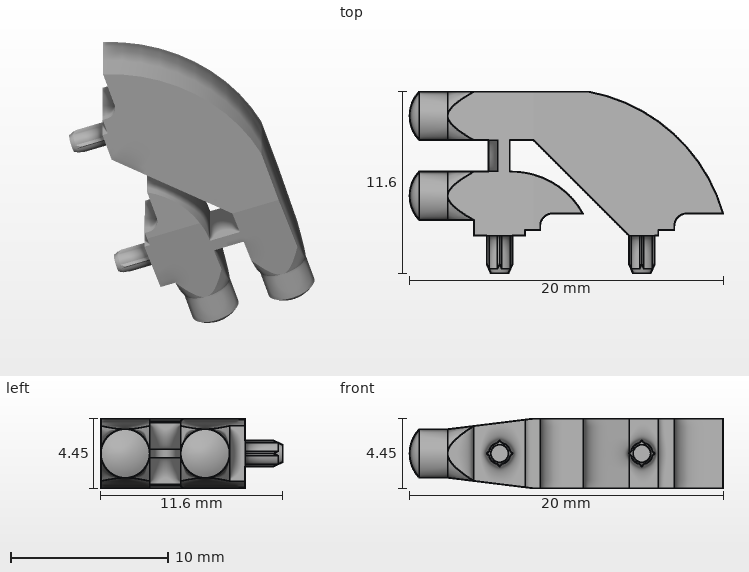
import cadquery as cq
import math


thickness = 4.45
taper_start_x = 2.435
taper_end_x = 7.9

tube_radius = 1.55
dome_height = 0.63
tube_pitch = 5.09
lower_tube_y = 2.54
upper_tube_y = lower_tube_y + tube_pitch
lower_top_y = lower_tube_y + tube_radius
upper_bottom_y = upper_tube_y - tube_radius
upper_top_y = upper_tube_y + tube_radius

neck_end_x = 4.1

step_height = 0.36
ledge_y = 1.41
cove_radius = 0.78
lower_step_x = 7.37
lower_heel_x = 8.33
upper_toe_x = taper_end_x + upper_bottom_y
upper_step_x = 15.84
upper_heel_x = 16.87

lower_arc_center = (6.5, -1.11)
lower_arc_radius = lower_top_y - lower_arc_center[1]
upper_arc_center = (9.395, -1.645)
upper_arc_radius = 11.01

bridge_start_x = 5.62
bridge_end_x = 6.4
tab_start_x = 5.02
tab_thickness = 0.54

pin_length = 2.4
pin_core_radius = 0.69
pin_rib_radius = 0.83
pin_rib_half_width = 0.14
pin_rib_count = 4
pin_tip_radius = 0.56
pin_tip_taper_length = 0.61
lower_pin_x = 5.74
upper_pin_x = 14.79


def point_on_arc(center, radius, angle):
    return (center[0] + radius * math.cos(angle), center[1] + radius * math.sin(angle))


def angle_at_y(center, radius, y):
    return math.asin((y - center[1]) / radius)


def plate(sketch):
    """Extrude an XY outline through the full thickness."""
    return sketch.extrude(thickness / 2, both=True)


def arm(outline, step_x, heel_x, arc_center, arc_radius, top_y):
    """Close an arm outline that has been drawn as far as the front of its foot."""
    cove_center = (heel_x + cove_radius, ledge_y - cove_radius)
    cove_middle = point_on_arc(cove_center, cove_radius, math.radians(135))
    tip_angle = angle_at_y(arc_center, arc_radius, ledge_y)
    top_angle = angle_at_y(arc_center, arc_radius, top_y)
    sketch = (
        outline.lineTo(step_x, 0)
        .lineTo(step_x, step_height)
        .lineTo(heel_x, step_height)
        .lineTo(heel_x, cove_center[1])
        .threePointArc(cove_middle, (cove_center[0], ledge_y))
        .lineTo(*point_on_arc(arc_center, arc_radius, tip_angle))
        .threePointArc(
            point_on_arc(arc_center, arc_radius, (tip_angle + top_angle) / 2),
            point_on_arc(arc_center, arc_radius, top_angle),
        )
        .lineTo(neck_end_x, top_y)
        .close()
    )
    return plate(sketch)


def lower_arm():
    outline = cq.Workplane("XY").moveTo(neck_end_x, lower_top_y).lineTo(neck_end_x, 0)
    return arm(outline, lower_step_x, lower_heel_x, lower_arc_center, lower_arc_radius, lower_top_y)


def upper_arm():
    outline = (
        cq.Workplane("XY")
        .moveTo(neck_end_x, upper_top_y)
        .lineTo(neck_end_x, upper_bottom_y)
        .lineTo(taper_end_x, upper_bottom_y)
        .lineTo(upper_toe_x, 0)
    )
    return arm(outline, upper_step_x, upper_heel_x, upper_arc_center, upper_arc_radius, upper_top_y)


def block(start_x, end_x, start_y, end_y, height):
    return (
        cq.Workplane("XY")
        .box(end_x - start_x, end_y - start_y, height, centered=(False, False, True))
        .translate((start_x, start_y, 0))
    )


def revolved_about_x(profile, y):
    return profile.close().revolve(360, (0, 0, 0), (1, 0, 0)).translate((0, y, 0))


def neck(y):
    """Square neck whose corners are turned down to a cone that meets the tube."""
    length = neck_end_x - taper_start_x
    taper_slope = (thickness / 2 - tube_radius) / (taper_end_x - taper_start_x)
    corner_radius = math.hypot(tube_radius, tube_radius + taper_slope * length)
    cone = revolved_about_x(
        cq.Workplane("XY")
        .moveTo(taper_start_x, 0)
        .lineTo(neck_end_x, 0)
        .lineTo(neck_end_x, corner_radius)
        .lineTo(taper_start_x, tube_radius),
        y,
    )
    square = block(taper_start_x, neck_end_x, y - tube_radius, y + tube_radius, thickness)
    return square.intersect(cone)


def tube(y):
    """Domed cylinder from X = 0 to the start of the neck."""
    dome_radius = (tube_radius**2 + dome_height**2) / (2 * dome_height)
    half_angle = math.asin(tube_radius / dome_radius)
    dome_middle = point_on_arc((dome_radius, 0), dome_radius, math.pi - half_angle / 2)
    profile = (
        cq.Workplane("XY")
        .threePointArc(dome_middle, (dome_height, tube_radius))
        .lineTo(taper_start_x, tube_radius)
        .lineTo(taper_start_x, 0)
    )
    return revolved_about_x(profile, y)


def thickness_envelope():
    """Side profile that thins the part towards the tubes."""
    far_x = upper_arc_center[0] + upper_arc_radius
    return (
        cq.Workplane("XZ")
        .moveTo(taper_start_x, -tube_radius)
        .lineTo(taper_end_x, -thickness / 2)
        .lineTo(far_x, -thickness / 2)
        .lineTo(far_x, thickness / 2)
        .lineTo(taper_end_x, thickness / 2)
        .lineTo(taper_start_x, tube_radius)
        .close()
        .extrude(-upper_top_y)
    )


def pin(x):
    """Ribbed pin pointing towards -Y, tapered at its tip."""
    rib_root = math.sqrt(pin_core_radius**2 - pin_rib_half_width**2)
    shaft = cq.Workplane("XZ").circle(pin_core_radius).extrude(pin_length)
    rib = (
        cq.Workplane("XZ")
        .moveTo(0, -pin_rib_half_width)
        .lineTo(rib_root, -pin_rib_half_width)
        .lineTo(pin_rib_radius, 0)
        .lineTo(rib_root, pin_rib_half_width)
        .lineTo(0, pin_rib_half_width)
        .close()
        .extrude(pin_length)
    )
    for index in range(pin_rib_count):
        shaft = shaft.union(rib.rotate((0, 0, 0), (0, 1, 0), index * 360 / pin_rib_count))
    envelope = (
        cq.Workplane("XY")
        .lineTo(pin_rib_radius, 0)
        .lineTo(pin_rib_radius, pin_tip_taper_length - pin_length)
        .lineTo(pin_tip_radius, -pin_length)
        .lineTo(0, -pin_length)
        .close()
        .revolve(360, (0, 0, 0), (0, 1, 0))
    )
    return shaft.intersect(envelope).translate((x, 0, 0))


bridge = block(bridge_start_x, bridge_end_x, lower_top_y, upper_bottom_y, thickness)
tab = block(tab_start_x, bridge_start_x, lower_top_y, upper_bottom_y, tab_thickness)

body = lower_arm().union(upper_arm()).union(bridge)
for tube_y in (lower_tube_y, upper_tube_y):
    body = body.union(neck(tube_y))
body = body.intersect(thickness_envelope())

result = body.union(tab)
for tube_y in (lower_tube_y, upper_tube_y):
    result = result.union(tube(tube_y))
for pin_x in (lower_pin_x, upper_pin_x):
    result = result.union(pin(pin_x))